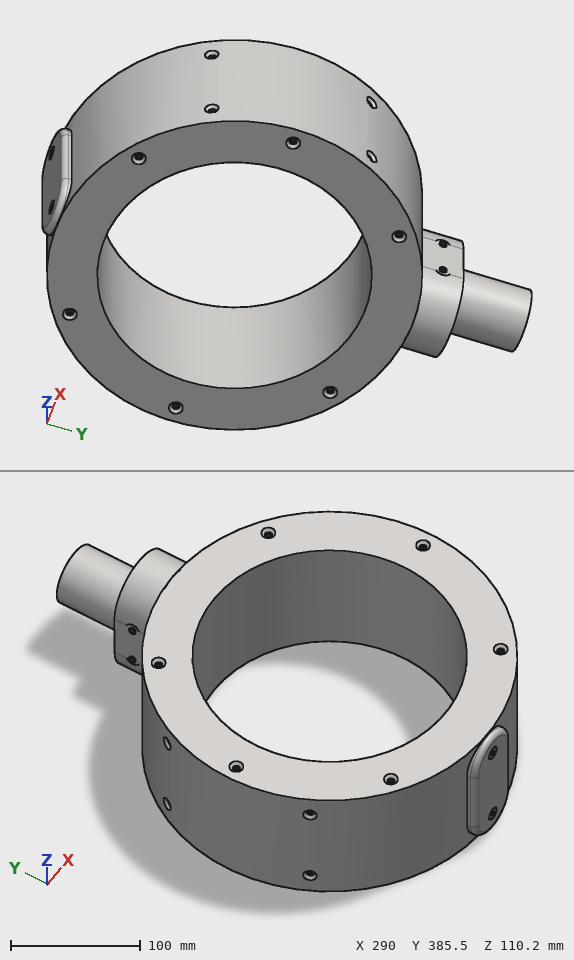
import cadquery as cq
import math

RING_DIAMETER = 290.0
BORE_DIAMETER = 212.0
RING_HEIGHT = 110.2
RING_RADIUS = RING_DIAMETER / 2

OVERLAP = 15.5

SOCKET_DIAMETER = 3.5
SOCKET_DEPTH = 2.0

COLLAR_WIDTH = 70.0
COLLAR_END_Y = 175.5
TUBE_DIAMETER = 50.0
TUBE_END_Y = 235.0

FLANK_SEAT_DIAMETER = 12.5
FLANK_SEAT_THICKNESS = 4.0
FLANK_HEAD_DIAMETER = 5.8
FLANK_HEAD_HEIGHT = 1.0
FLANK_SCREW_Y = 158.5
FLANK_SCREW_Z = 17.5

COVER_WIDTH = 50.0
COVER_HEIGHT = 109.5
COVER_FACE_Y = -150.5
COVER_EDGE_RADIUS = 4.5
COVER_HOLE_DIAMETER = 10.8
COVER_HEAD_DIAMETER = 9.5
COVER_GAP_DEPTH = 2.0

SINK_DIAMETER = 10.8
SINK_FLOOR_DIAMETER = 5.8
SINK_DEPTH = (SINK_DIAMETER - SINK_FLOOR_DIAMETER) / 2
SINK_CLEARANCE = 1.0
FACE_SCREW_CIRCLE_RADIUS = 132.2
SIDE_SCREW_Z = 36.5
SIDE_SCREW_ANGLE = 27.0
FACE_SCREW_ANGLE = 2 * SIDE_SCREW_ANGLE


def cylinder(diameter, length, start, direction):
    return cq.Solid.makeCylinder(diameter / 2, length, cq.Vector(*start), cq.Vector(*direction))


def stadium_along_y(width, height, y_start, y_end):
    """Upright stadium profile extruded along Y between two positions."""
    profile = cq.Workplane("XZ", origin=(0, y_end, 0)).slot2D(height, width, 90)
    return profile.extrude(y_end - y_start)


def countersink(start, inward):
    """Cutter for a conical screw seat with a driver socket in its floor."""
    start = cq.Vector(*start)
    inward = cq.Vector(*inward)
    floor = start + inward * SINK_DEPTH
    mouth = start - inward * SINK_CLEARANCE
    cone = cq.Solid.makeCone(SINK_DIAMETER / 2, SINK_FLOOR_DIAMETER / 2, SINK_DEPTH, start, inward)
    entry = cylinder(SINK_DIAMETER, SINK_CLEARANCE, mouth.toTuple(), inward.toTuple())
    socket = cylinder(SOCKET_DIAMETER, SOCKET_DEPTH, floor.toTuple(), inward.toTuple())
    return cone.fuse(entry, socket)


def make_ring():
    base = cq.Workplane(cq.Plane(origin=(0, 0, -RING_HEIGHT / 2), xDir=(0, 1, 0), normal=(0, 0, 1)))
    return base.circle(RING_RADIUS).circle(BORE_DIAMETER / 2).extrude(RING_HEIGHT)


def make_stem():
    collar = stadium_along_y(COLLAR_WIDTH, RING_HEIGHT, RING_RADIUS - OVERLAP, COLLAR_END_Y)
    tube = cylinder(TUBE_DIAMETER, TUBE_END_Y - COLLAR_END_Y, (0, COLLAR_END_Y, 0), (0, 1, 0))
    stem = collar.union(cq.Workplane(tube))
    seat_x = COLLAR_WIDTH / 2 - FLANK_SEAT_THICKNESS
    head_length = FLANK_SEAT_THICKNESS + FLANK_HEAD_HEIGHT
    for side in (-1, 1):
        for z in (-FLANK_SCREW_Z, FLANK_SCREW_Z):
            start = (side * seat_x, FLANK_SCREW_Y, z)
            outward = (side, 0, 0)
            seat = cylinder(FLANK_SEAT_DIAMETER, FLANK_SEAT_THICKNESS, start, outward)
            head = cylinder(FLANK_HEAD_DIAMETER, head_length, start, outward)
            head_top = (start[0] + side * head_length, FLANK_SCREW_Y, z)
            socket = cylinder(SOCKET_DIAMETER, SOCKET_DEPTH, head_top, (-side, 0, 0))
            stem = stem.union(cq.Workplane(seat)).union(cq.Workplane(head)).cut(cq.Workplane(socket))
    return stem


def make_cover():
    cover = stadium_along_y(COVER_WIDTH, COVER_HEIGHT, COVER_FACE_Y, OVERLAP - RING_RADIUS)
    cover = cover.faces("<Y").edges().fillet(COVER_EDGE_RADIUS)
    for z in (-SIDE_SCREW_Z, SIDE_SCREW_Z):
        start = (0, COVER_FACE_Y, z)
        inward = (0, 1, 0)
        hole = cylinder(COVER_HOLE_DIAMETER, COVER_GAP_DEPTH, start, inward)
        head = cylinder(COVER_HEAD_DIAMETER, COVER_GAP_DEPTH, start, inward)
        socket = cylinder(SOCKET_DIAMETER, SOCKET_DEPTH, start, inward)
        cover = cover.cut(cq.Workplane(hole.cut(head))).cut(cq.Workplane(socket))
    return cover


def face_screws():
    """Six countersinks in each flat end of the ring."""
    cutters = []
    for side in (-1, 1):
        for base in (0, 180):
            for offset in (-FACE_SCREW_ANGLE, 0, FACE_SCREW_ANGLE):
                angle = math.radians(base + offset)
                x = FACE_SCREW_CIRCLE_RADIUS * math.cos(angle)
                y = FACE_SCREW_CIRCLE_RADIUS * math.sin(angle)
                cutters.append(countersink((x, y, side * RING_HEIGHT / 2), (0, 0, -side)))
    return cutters


def side_screws():
    """Four pairs of radial countersinks around the outer wall."""
    cutters = []
    for base in (0, 180):
        for offset in (-SIDE_SCREW_ANGLE, SIDE_SCREW_ANGLE):
            angle = math.radians(base + offset)
            cosine = math.cos(angle)
            sine = math.sin(angle)
            for z in (-SIDE_SCREW_Z, SIDE_SCREW_Z):
                start = (RING_RADIUS * cosine, RING_RADIUS * sine, z)
                cutters.append(countersink(start, (-cosine, -sine, 0)))
    return cutters


result = make_ring().union(make_stem()).union(make_cover())
for cutter in face_screws() + side_screws():
    result = result.cut(cq.Workplane(cutter))